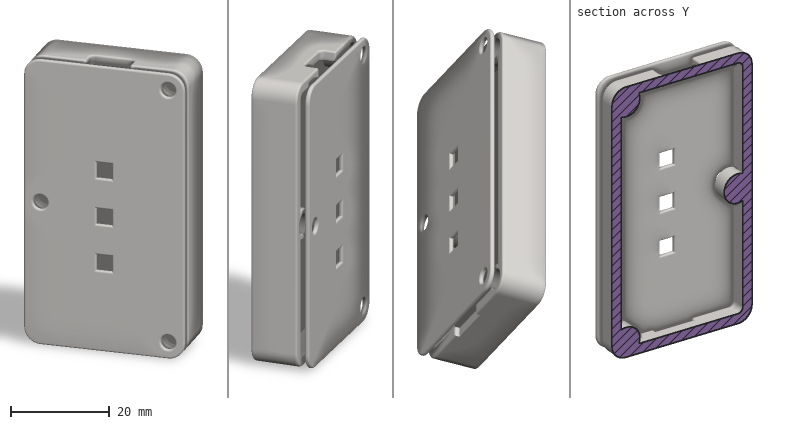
import cadquery as cq
WIDTH = 34.2
DEPTH = 12.6
HEIGHT = 61.6
CORNER_RADIUS = 3.5
EDGE_FILLET = 0.45

PLATE_THICKNESS = 1.0
PLATE_FILLET = 0.45
HOUSING_DEPTH = 10.0
HOUSING_FRONT = DEPTH - HOUSING_DEPTH

PLATE_HOLE_DIAMETER = 3.15
HOUSING_HOLE_DIAMETER = 4.0
HOUSING_HOLE_DEPTH = 2.0
HOLE_X = WIDTH / 2 - CORNER_RADIUS
HOLE_Z = HEIGHT / 2 - CORNER_RADIUS
HOLE_CENTERS = [(HOLE_X, HOLE_Z), (HOLE_X, -HOLE_Z), (-HOLE_X, 0)]

WINDOW_SIZE = 3.45
WINDOW_FILLET = 0.4
WINDOW_PITCH = 10.0
WINDOW_MIDDLE_Z = -1.7
WINDOW_CENTERS = [(0, WINDOW_MIDDLE_Z + row * WINDOW_PITCH) for row in (-1, 0, 1)]

WALL = 2.35
CAVITY_DEPTH = 5.0
CAVITY_RADIUS = CORNER_RADIUS - WALL
BOSS_DIAMETER = 6.8

OPENING_WIDTH = 9.35
TOP_OPENING_DEPTH = 3.3
TOP_OPENING_RADIUS = 1.0
BOTTOM_OPENING_DEPTH = 1.0


def face_plane(y):
    """Sketch plane at depth y, facing -Y, with its axes along X and Z."""
    return cq.Workplane("XZ", origin=(0, y, 0))


def rounded_slab(front, depth):
    """Upright block with rounded corners, reaching back from its front face."""
    slab = face_plane(front).rect(WIDTH, HEIGHT).extrude(-depth)
    return slab.edges("|Y").fillet(CORNER_RADIUS)


def holes(front, diameter, depth):
    """Cylinders at the hole centers, reaching back from the given depth."""
    return face_plane(front).pushPoints(HOLE_CENTERS).circle(diameter / 2).extrude(-depth)


def end_opening(depth, end):
    """Block that cuts an opening of the given depth into the +Z (end = 1) or -Z (end = -1) wall."""
    block = cq.Workplane("XY").box(OPENING_WIDTH, 2 * depth, 2 * WALL)
    return block.translate((0, HOUSING_FRONT, end * HEIGHT / 2))


def inner_opening_edges(end):
    """Selects the edges where an end opening breaks into the cavity."""
    wall_z = end * (HEIGHT / 2 - WALL)
    reach = OPENING_WIDTH / 2 + EDGE_FILLET
    return cq.selectors.BoxSelector(
        (-reach, HOUSING_FRONT + EDGE_FILLET / 2, wall_z - 0.05),
        (reach, HOUSING_FRONT + TOP_OPENING_DEPTH + EDGE_FILLET, wall_z + 0.05),
    )


def make_plate():
    plate = rounded_slab(0, PLATE_THICKNESS)
    plate = plate.cut(holes(0, PLATE_HOLE_DIAMETER, PLATE_THICKNESS))
    plate = plate.faces("<Y or >Y").edges().fillet(PLATE_FILLET)
    windows = face_plane(0).pushPoints(WINDOW_CENTERS).rect(WINDOW_SIZE, WINDOW_SIZE).extrude(-PLATE_THICKNESS)
    plate = plate.cut(windows)
    window_zone = cq.selectors.BoxSelector(
        (-WINDOW_SIZE, -0.6, -HEIGHT / 3), (WINDOW_SIZE, DEPTH, HEIGHT / 3))
    return plate.faces("<Y or >Y").edges(window_zone).fillet(WINDOW_FILLET)


def make_housing():
    housing = rounded_slab(HOUSING_FRONT, HOUSING_DEPTH)
    cavity = face_plane(HOUSING_FRONT).rect(WIDTH - 2 * WALL, HEIGHT - 2 * WALL).extrude(-CAVITY_DEPTH)
    cavity = cavity.edges("|Y").fillet(CAVITY_RADIUS)
    cavity = cavity.cut(holes(HOUSING_FRONT, BOSS_DIAMETER, CAVITY_DEPTH))
    top_opening = end_opening(TOP_OPENING_DEPTH, 1).edges("|Z and >Y").fillet(TOP_OPENING_RADIUS)
    for cutter in (cavity, top_opening, end_opening(BOTTOM_OPENING_DEPTH, -1)):
        housing = housing.cut(cutter)
    housing = housing.cut(holes(HOUSING_FRONT, HOUSING_HOLE_DIAMETER, HOUSING_HOLE_DEPTH))
    outer_edges = housing.faces("<Y or >Y or >Z").edges()
    inner_edges = housing.edges(inner_opening_edges(1)).add(housing.edges(inner_opening_edges(-1)))
    return outer_edges.add(inner_edges).fillet(EDGE_FILLET)


plate = make_plate()
housing = make_housing()
result = cq.Compound.makeCompound([housing.val(), plate.val()])